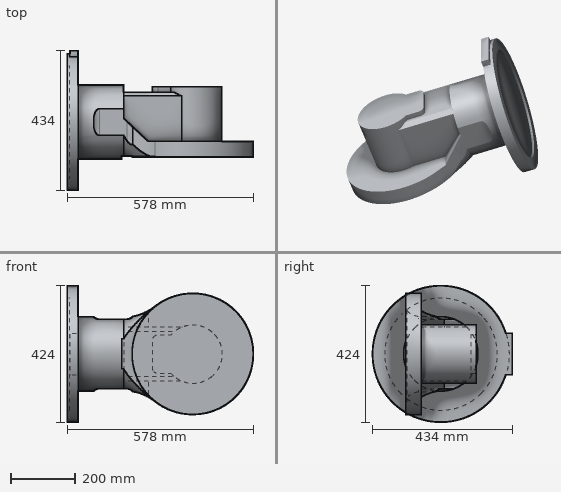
import cadquery as cq

overall_length = 578.0

flange_radius = 212.0
flange_thickness = 33.5
recess_radius = 174.5
recess_depth = 7.0
tab_start = 8.0
tab_top = 222.0
tab_bottom = 201.0
tab_half_width = 65.0

neck_radius = 115.5
neck_end = 175.0
flat_height = 108.0
flat_runout_radius = 25.0
flat_start = 99.5

disk_radius = 188.5
disk_x = overall_length - disk_radius
disk_front = -109.0
disk_back = -60.0
web_front = -106.0
neck_relief_start = 169.0

boss_radius = 91.0
boss_back = 110.0
block_half_height = 84.0
block_back = 93.0
block_bevel_depth = 12.0
block_bevel_height = 14.0
block_slant_top = 11.5
block_slant_end = 251.5

block_end = disk_x - (boss_radius**2 - block_half_height**2) ** 0.5

lug_start = 263.5
lug_half_height = 59.5
lug_corner_radius = 17.0

web_step_start = 185.0
web_step_end = 204.0
web_step_height = 117.0
web_step_mid = (196.5, 111.0)
web_mid = (236.0, 126.0)
web_rim_x = 272.0
web_rim_height = (disk_radius**2 - (disk_x - web_rim_x)**2) ** 0.5
flare_end_radius = 184.0


def cylinder_x(radius, start, end):
    return cq.Workplane("YZ", origin=(start, 0, 0)).circle(radius).extrude(end - start)


def cylinder_y(x, radius, front, back):
    return cq.Workplane("XZ", origin=(x, back, 0)).circle(radius).extrude(back - front)


def box(x, y, z):
    size = (x[1] - x[0], y[1] - y[0], z[1] - z[0])
    return cq.Workplane("XY").box(*size, centered=False).translate((x[0], y[0], z[0]))


def make_flange():
    tab = box((tab_start, flange_thickness), (tab_bottom, tab_top), (-tab_half_width, tab_half_width))
    recess = cylinder_x(recess_radius, 0, recess_depth)
    return cylinder_x(flange_radius, 0, flange_thickness).union(tab).cut(recess)


def make_neck():
    neck = cylinder_x(neck_radius, flange_thickness, neck_end)
    flat = (
        box(
            (flat_start - flat_runout_radius, neck_end),
            (-neck_radius, neck_radius),
            (flat_height, flat_height + 2 * flat_runout_radius),
        )
        .edges("|Y and <X and <Z")
        .fillet(flat_runout_radius)
    )
    relief = box((neck_relief_start, neck_end), (-neck_radius, web_front), (-neck_radius, neck_radius))
    return neck.cut(flat).cut(flat.mirror("XY")).cut(relief)


def make_block():
    outline = [
        (neck_end, block_back),
        (block_end, block_back),
        (block_end, disk_back),
        (block_slant_end, disk_back),
        (neck_end, block_slant_top),
    ]
    plan = (
        cq.Workplane("XY", origin=(0, 0, -block_half_height))
        .polyline(outline)
        .close()
        .extrude(2 * block_half_height)
    )
    bevel_y = block_back - block_bevel_depth
    bevel_z = block_half_height - block_bevel_height
    section = (
        cq.Workplane("YZ")
        .polyline([
            (disk_front, -block_half_height),
            (bevel_y, -block_half_height),
            (block_back, -bevel_z),
            (block_back, bevel_z),
            (bevel_y, block_half_height),
            (disk_front, block_half_height),
        ])
        .close()
        .extrude(block_end)
    )
    return plan.intersect(section)


def make_web():
    side = (
        cq.Workplane("XZ", origin=(0, block_slant_top, 0))
        .moveTo(neck_end, 0)
        .lineTo(neck_end, flat_height)
        .lineTo(web_step_start, flat_height)
        .threePointArc(web_step_mid, (web_step_end, web_step_height))
        .threePointArc(web_mid, (web_rim_x, web_rim_height))
        .lineTo(disk_x, web_rim_height)
        .lineTo(disk_x, 0)
        .close()
        .extrude(block_slant_top - web_front)
    )
    side = side.union(side.mirror("XY"))
    plan = (
        cq.Workplane("XY", origin=(0, 0, -disk_radius))
        .polyline([
            (neck_end, block_slant_top),
            (block_slant_end, disk_back),
            (disk_x, disk_back),
            (disk_x, web_front),
            (neck_end, web_front),
        ])
        .close()
        .extrude(2 * disk_radius)
    )
    slope = (flare_end_radius - neck_radius) / (web_rim_x - neck_end)
    cone_end_radius = neck_radius + slope * (disk_x - neck_end)
    flare = (
        cq.Workplane("XY")
        .polyline([(neck_end, 0), (neck_end, neck_radius), (disk_x, cone_end_radius), (disk_x, 0)])
        .close()
        .revolve(360, (0, 0, 0), (1, 0, 0))
    )
    return side.intersect(plan).intersect(flare)


def make_boss():
    lug = (
        box((lug_start, disk_x), (disk_back, boss_back), (-lug_half_height, lug_half_height))
        .edges("|Y and <X")
        .fillet(lug_corner_radius)
    )
    return cylinder_y(disk_x, boss_radius, disk_back, boss_back).union(lug)


disk = cylinder_y(disk_x, disk_radius, disk_front, disk_back)
result = make_flange().union(make_neck()).union(make_block()).union(make_web())
result = result.union(make_boss()).union(disk)